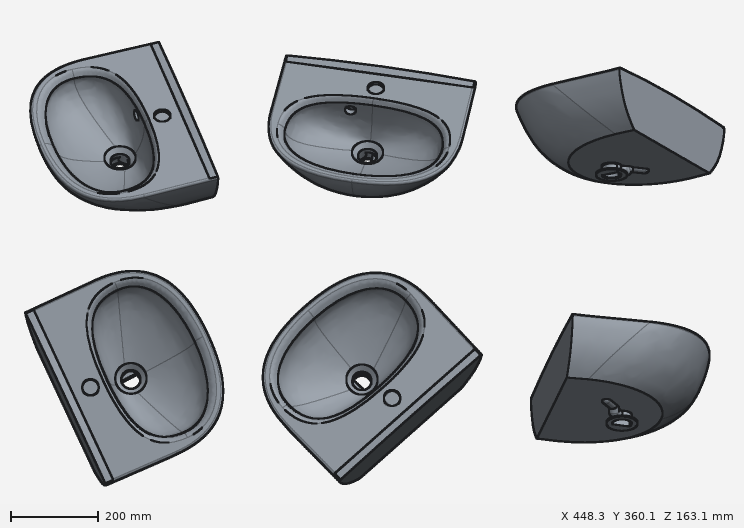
import cadquery as cq
import math


BODY_WIDTH = 448.29
BODY_REACH = 360.11
BODY_DEPTH = 134.0
OVERALL_HEIGHT = 163.07
RIM_FILLET = 5.5
BODY_SECTIONS = [
    (0.0, 0.0, 0.0),
    (RIM_FILLET, 0.0, 0.0),
    (40.0, 6.6, 9.1),
    (76.0, 19.6, 26.1),
    (107.0, 38.6, 55.1),
    (124.0, 53.1, 80.1),
    (BODY_DEPTH, 63.1, 103.1),
]
DECK_TURN_Y = -185.0
UNDERSIDE_TURN_Y = -50.0
BACK_INSET = 2.0
DECK_FULLNESS = 0.685
UNDERSIDE_FULLNESS = 0.57

STRIP_HEIGHT = 7.07
STRIP_FRONT_HEIGHT = 1.5
STRIP_WIDTH = 20.0
STRIP_HALF_LENGTH = 219.0
STRIP_TOE = 1.0

BOWL_WIDEST_Y = -216.0
RIM_OUTLINE = (200.0, -95.5, BOWL_WIDEST_Y, -347.0, 0.70, 0.625)
EDGE_OUTLINE = (183.0, -106.0, BOWL_WIDEST_Y, -326.0, 0.70, 0.625)
EDGE_DEPTH = 13.0
FLOOR_DEPTH = 110.0
BOWL_STEPS = (0.0, 0.25, 0.5, 0.7, 0.87, 1.0)
BOWL_EXPONENT = 2.4
LIP_STEPS = (0.0, 0.35, 0.7, 1.0)
LIP_EXPONENT = 1.8

DRAIN_Y = -165.0
FLARE_RADIUS = 36.0
FLARE_DEPTH = 11.0
BORE_RADIUS = 22.0
PIPE_RADIUS = 23.0
FLANGE_RADIUS = FLARE_RADIUS
FLANGE_THICKNESS = 3.0
PIPE_OVERLAP = 1.0
DRAIN_BOTTOM = STRIP_HEIGHT - OVERALL_HEIGHT
BAFFLE_X = 9.0
BAFFLE_TURN = 3.5
BAFFLE_TOP = -136.0
BAFFLE_SPAN = 3 * BORE_RADIUS
CIRCLE_FULLNESS = 4.0 / 3.0 * math.tan(math.pi / 8)
FLOOR_OUTLINE = (FLARE_RADIUS, DRAIN_Y + FLARE_RADIUS, DRAIN_Y, DRAIN_Y - FLARE_RADIUS,
                 CIRCLE_FULLNESS, CIRCLE_FULLNESS)

OVERFLOW_X = -50.5
OVERFLOW_Z = -36.5
OVERFLOW_DIAMETER = 25.0
OVERFLOW_BACK_Y = -95.0
CHANNEL_RADIUS = 12.0
CHANNEL_POINTS = [(-62.0, -115.0, -129.0), (-36.0, -138.0, -129.0),
                  (-25.0, -141.0, -141.0), (-8.0, -160.0, -141.0)]

TAP_Y = -63.0
TAP_DIAMETER = 38.0
TAP_DEPTH = 8.0


def body_outline(depth, side_inset, front_inset):
    """Closed outline of the body: flat at the wall, straight sides, round front."""
    half_width = BODY_WIDTH / 2 - side_inset
    reach = BODY_REACH - front_inset
    share = depth / BODY_DEPTH
    fullness = DECK_FULLNESS + (UNDERSIDE_FULLNESS - DECK_FULLNESS) * share
    turn_y = DECK_TURN_Y + (UNDERSIDE_TURN_Y - DECK_TURN_Y) * share
    turn_handle = turn_y - fullness * (reach + turn_y)
    front_handle = half_width * fullness
    back_x = half_width - BACK_INSET
    return (
        cq.Workplane("XY", origin=(0, 0, -depth))
        .moveTo(-back_x, 0)
        .lineTo(back_x, 0)
        .lineTo(half_width, turn_y)
        .bezier([(half_width, turn_y), (half_width, turn_handle),
                 (front_handle, -reach), (0, -reach)])
        .bezier([(0, -reach), (-front_handle, -reach),
                 (-half_width, turn_handle), (-half_width, turn_y)])
        .close()
        .wire()
        .val()
    )


def oval_outline(depth, outline):
    """Closed oval of four Bezier quarters."""
    half_width, back_y, widest_y, front_y, back_fullness, front_fullness = outline
    back_handle_x = half_width * back_fullness
    front_handle_x = half_width * front_fullness
    back_handle_y = widest_y + (back_y - widest_y) * back_fullness
    front_handle_y = widest_y + (front_y - widest_y) * front_fullness
    return (
        cq.Workplane("XY", origin=(0, 0, -depth))
        .moveTo(0, back_y)
        .bezier([(0, back_y), (back_handle_x, back_y),
                 (half_width, back_handle_y), (half_width, widest_y)])
        .bezier([(half_width, widest_y), (half_width, front_handle_y),
                 (front_handle_x, front_y), (0, front_y)])
        .bezier([(0, front_y), (-front_handle_x, front_y),
                 (-half_width, front_handle_y), (-half_width, widest_y)])
        .bezier([(-half_width, widest_y), (-half_width, back_handle_y),
                 (-back_handle_x, back_y), (0, back_y)])
        .wire()
        .val()
    )


def loft(outlines, ruled=False):
    return cq.Workplane(cq.Solid.makeLoft(outlines, ruled))


def cylinder(x, y, bottom, top, radius):
    return cq.Workplane("XY", origin=(x, y, bottom)).circle(radius).extrude(top - bottom)


def make_body():
    body = loft([body_outline(*section) for section in BODY_SECTIONS])
    rim = body.faces(">Z").edges().edges("not(>Y)")
    return rim.fillet(RIM_FILLET)


def strip_profile(y, height):
    """Long upright section of the strip, its top rising to the middle in a shallow arc."""
    return (
        cq.Workplane("XZ", origin=(0, y, 0))
        .moveTo(-STRIP_HALF_LENGTH, -STRIP_TOE)
        .lineTo(STRIP_HALF_LENGTH, -STRIP_TOE)
        .lineTo(STRIP_HALF_LENGTH, 0)
        .threePointArc((0, height), (-STRIP_HALF_LENGTH, 0))
        .close()
        .wire()
        .val()
    )


def make_strip():
    """Wedge that falls from the crest at the wall to the deck."""
    profiles = [strip_profile(0, STRIP_HEIGHT), strip_profile(-STRIP_WIDTH, STRIP_FRONT_HEIGHT)]
    return loft(profiles, ruled=True)


def blend(start, end, share):
    """Outline part way between two outlines."""
    return [first + (last - first) * share for first, last in zip(start, end)]


def make_bowl():
    """Hollow of the bowl: a rolled lip above a rounded basin."""
    lip = [oval_outline(EDGE_DEPTH * step ** LIP_EXPONENT, blend(RIM_OUTLINE, EDGE_OUTLINE, step))
           for step in LIP_STEPS]
    basin_depth = FLOOR_DEPTH - EDGE_DEPTH
    basin = [oval_outline(EDGE_DEPTH + basin_depth * step,
                          blend(EDGE_OUTLINE, FLOOR_OUTLINE, step ** BOWL_EXPONENT))
             for step in BOWL_STEPS]
    return loft(lip).union(loft(basin))


def make_drain_pipe():
    pipe = cylinder(0, DRAIN_Y, DRAIN_BOTTOM, PIPE_OVERLAP - BODY_DEPTH, PIPE_RADIUS)
    flange = cylinder(0, DRAIN_Y, DRAIN_BOTTOM, DRAIN_BOTTOM + FLANGE_THICKNESS, FLANGE_RADIUS)
    return pipe.union(flange)


def make_drain_hollow():
    """Conical seat and straight bore, with one side of the bore left closed by a baffle."""
    throat_z = -FLOOR_DEPTH - FLARE_DEPTH
    seat = (
        cq.Workplane("XY", origin=(0, DRAIN_Y, -FLOOR_DEPTH))
        .circle(FLARE_RADIUS)
        .workplane(offset=-FLARE_DEPTH)
        .circle(BORE_RADIUS)
        .loft()
    )
    bore = cylinder(0, DRAIN_Y, DRAIN_BOTTOM, throat_z, BORE_RADIUS)
    baffle = (
        cq.Workplane("XY")
        .box(BORE_RADIUS, BAFFLE_SPAN, BAFFLE_TOP - DRAIN_BOTTOM, centered=(False, True, False))
        .translate((BAFFLE_X, 0, 0))
        .rotate((0, 0, 0), (0, 0, 1), BAFFLE_TURN)
        .translate((0, DRAIN_Y, DRAIN_BOTTOM))
    )
    return seat.union(bore.cut(baffle))


def make_overflow_channel():
    """Bent tube under the bowl that leads the overflow into the drain pipe."""
    points = [cq.Vector(*point) for point in CHANNEL_POINTS]
    channel = cq.Workplane("XY").sphere(CHANNEL_RADIUS).translate(points[0])
    for start, end in zip(points, points[1:]):
        run = end - start
        tube = cq.Solid.makeCylinder(CHANNEL_RADIUS, run.Length, start, run)
        joint = cq.Workplane("XY").sphere(CHANNEL_RADIUS).translate(end)
        channel = channel.union(cq.Workplane(tube)).union(joint)
    return channel


def make_overflow_hole():
    """Level hole through the back wall of the basin, ending blind behind it."""
    length = OVERFLOW_BACK_Y - DRAIN_Y
    return (
        cq.Workplane("XZ", origin=(OVERFLOW_X, OVERFLOW_BACK_Y, OVERFLOW_Z))
        .circle(OVERFLOW_DIAMETER / 2)
        .extrude(length)
    )


def make_tap_hole():
    return cylinder(0, TAP_Y, -TAP_DEPTH, 0, TAP_DIAMETER / 2)


result = (
    make_body()
    .union(make_strip())
    .union(make_drain_pipe())
    .union(make_overflow_channel())
    .cut(make_bowl())
    .cut(make_overflow_hole())
    .cut(make_drain_hollow())
    .cut(make_tap_hole())
)